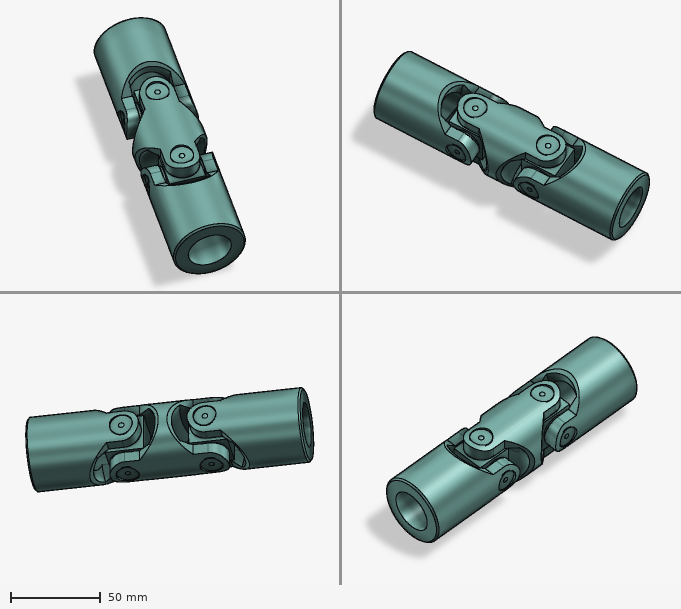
import cadquery as cq
import math


TOTAL_LENGTH = 156.0
BODY_D = 42.0
BODY_R = BODY_D / 2
BORE_D = 25.0
END_CHAMFER = 1.0
JOINT_X = 23.8

ARM_HALF_WIDTH = 10.0
ARM_GAP = 24.0
POCKET_X = -3.0
POCKET_MOUTH_R = 15.6
POCKET_WAIST_R = 18.5
MOUTH_OUTER = 21.3
MOUTH_INNER = 8.6

BLOCK = 22.0
BLOCK_Y = 21.0
PIN_D = 13.0
PIN_SPAN = 39.0
SHOULDER_D = 18.0
NUB_D = 3.12
NUB_HEIGHT = 0.35


def fork_envelope():
    """Silhouette of a fork at the origin, arms along Z, shank towards -X, extruded along Z."""
    return (
        cq.Workplane("XY")
        .moveTo(-TOTAL_LENGTH, -BODY_R)
        .lineTo(-MOUTH_OUTER, -BODY_R)
        .lineTo(-MOUTH_INNER, -ARM_HALF_WIDTH)
        .lineTo(0, -ARM_HALF_WIDTH)
        .threePointArc((ARM_HALF_WIDTH, 0), (0, ARM_HALF_WIDTH))
        .lineTo(-MOUTH_INNER, ARM_HALF_WIDTH)
        .lineTo(-MOUTH_OUTER, BODY_R)
        .lineTo(-TOTAL_LENGTH, BODY_R)
        .close()
        .extrude(BODY_R, both=True)
    )


def fork_hollow():
    """Pocket between the arms plus the pin hole through both arms."""
    barrel = (
        cq.Workplane("XY")
        .moveTo(0, -BODY_R)
        .lineTo(POCKET_MOUTH_R, -BODY_R)
        .threePointArc((POCKET_WAIST_R, 0), (POCKET_MOUTH_R, BODY_R))
        .lineTo(0, BODY_R)
        .close()
        .revolve(360, (0, 0, 0), (0, 1, 0))
    )
    arm_gap = cq.Workplane("XY").box(BODY_D, BODY_D, ARM_GAP)
    pin_hole = cq.Workplane("XY").circle(PIN_D / 2).extrude(BODY_R, both=True)
    return barrel.translate((POCKET_X, 0, 0)).intersect(arm_gap).union(pin_hole)


def flip(body):
    """Turn a body end for end about Z."""
    return body.rotate((0, 0, 0), (0, 0, 1), 180)


def quarter_turn(body):
    """Turn a body about the shaft line so that its arms lie along Y."""
    return body.rotate((0, 0, 0), (1, 0, 0), 90)


def make_end_yoke():
    """Left end yoke, arms along Y."""
    shank_length = TOTAL_LENGTH / 2 - JOINT_X
    barrel = (
        cq.Workplane("YZ", origin=(-shank_length, 0, 0))
        .circle(BODY_R)
        .extrude(TOTAL_LENGTH / 2)
        .faces("<X")
        .chamfer(END_CHAMFER)
    )
    bore = (
        cq.Workplane("YZ", origin=(-shank_length, 0, 0))
        .circle(BORE_D / 2)
        .extrude(shank_length)
    )
    yoke = barrel.intersect(fork_envelope()).cut(fork_hollow()).cut(bore)
    return quarter_turn(yoke).translate((-JOINT_X, 0, 0))


def make_middle_yoke():
    """Middle yoke with a fork at both ends, arms along Z."""
    yoke = cq.Workplane("YZ").circle(BODY_R).extrude(TOTAL_LENGTH / 2, both=True)
    right_envelope = fork_envelope().translate((JOINT_X, 0, 0))
    right_hollow = fork_hollow().translate((JOINT_X, 0, 0))
    for envelope, hollow in (
        (right_envelope, right_hollow),
        (flip(right_envelope), flip(right_hollow)),
    ):
        yoke = yoke.intersect(envelope).cut(hollow)
    return yoke


def make_pin():
    """Pin along Z from the cross centre, with thrust shoulder and a domed nub on its end face."""
    pin_end = PIN_SPAN / 2
    nub_r = NUB_D / 2
    arc_r = (nub_r ** 2 + NUB_HEIGHT ** 2) / (2 * NUB_HEIGHT)
    arc_mid_x = nub_r / 2
    arc_mid_z = pin_end + NUB_HEIGHT - arc_r + math.sqrt(arc_r ** 2 - arc_mid_x ** 2)
    return (
        cq.Workplane("XZ")
        .lineTo(SHOULDER_D / 2, 0)
        .lineTo(SHOULDER_D / 2, ARM_GAP / 2)
        .lineTo(PIN_D / 2, ARM_GAP / 2)
        .lineTo(PIN_D / 2, pin_end)
        .lineTo(nub_r, pin_end)
        .threePointArc((arc_mid_x, arc_mid_z), (0, pin_end + NUB_HEIGHT))
        .close()
        .revolve(360, (0, 0, 0), (0, 1, 0))
    )


def make_cross():
    """Block with four pins, two along Z and two along Y."""
    cross = cq.Workplane("XY").box(BLOCK, BLOCK_Y, BLOCK)
    pin = make_pin()
    for turn in range(4):
        cross = cross.union(pin.rotate((0, 0, 0), (1, 0, 0), 90 * turn))
    return cross


left_yoke = make_end_yoke()
end_yokes = [left_yoke, flip(left_yoke)]
middle_yoke = make_middle_yoke()
crosses = [make_cross().translate((side * JOINT_X, 0, 0)) for side in (-1, 1)]

result = cq.Compound.makeCompound(
    [body.val() for body in [*end_yokes, middle_yoke, *crosses]]
)